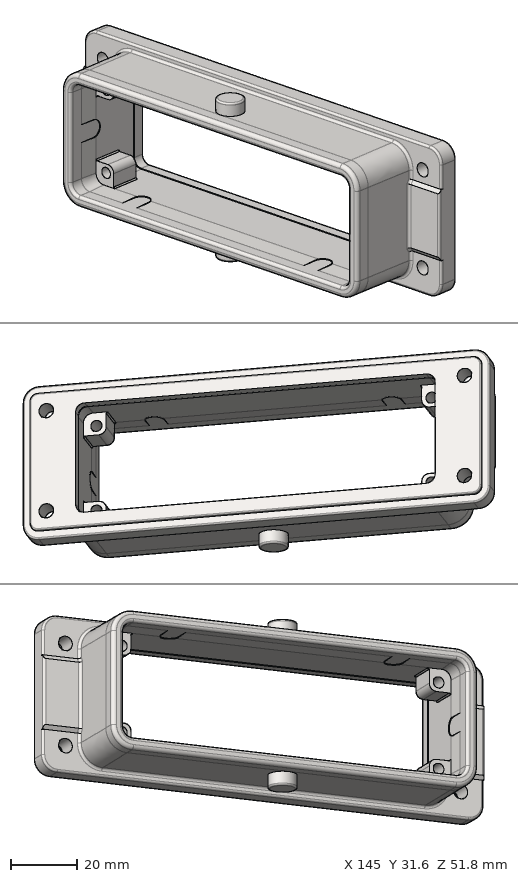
import cadquery as cq
import math

total_depth = 31.6

flange_length = 145.0
flange_height = 48.7
flange_corner = 5.0
lip_length = 140.2
lip_height = 43.6
lip_depth = 1.2
lip_corner = flange_corner - (flange_length - lip_length) / 2
lip_round = 0.5
flange_rear_round = 0.51
flange_front = 7.7
flange_front_round = 0.7
flange_hole_diameter = 4.5
flange_hole_x = 65.0
flange_hole_z = 16.0

pad_height = 0.9
pad_half_width = 10.3
pad_slope_width = 1.3
pad_round = 0.7

collar_length = 120.0
collar_height = 43.2
collar_corner = 7.0
collar_draft_end = 26.7
collar_draft = 0.1
collar_root_round = 0.9
rim_outer_round = 1.3
collar_overlap = 1.5

wall = 3.6
inner_corner = collar_corner - wall
mouth_length = collar_length - 2 * wall
mouth_height = collar_height - 2 * wall
mouth_end = collar_draft_end
throat_start = 20.5
throat_inset = 0.3
rear_lip_depth = 3.6
rear_lip_inset = 0.6
rim_inner_round = 1.0

slot_width = 5.8
slot_end = 18.5
slot_x = 36.8

boss_inner_x = 49.0
boss_inner_z = 10.6
boss_rear = 10.5
boss_corner = 2.3
boss_foot_round = 0.5
boss_hole_diameter = 3.5
boss_hole_x = 52.0
boss_hole_z = 13.5

pin_span = 51.8
pin_diameter = 8.8
pin_round = 0.6
pin_depth = 22.2


def rounded_bar(length, height, corner, start, end):
    """Bar with rounded corners along Y between two depths."""
    bar = cq.Workplane("XZ", origin=(0, -start, 0)).rect(length, height).extrude(end - start)
    return bar.edges("|Y").fillet(corner)


def drafted_bar(length, height, corner, start, end, inset):
    """Rounded bar whose sides move inward by `inset` from start to end."""
    angle = math.degrees(math.atan(inset / (end - start)))
    profile = cq.Sketch().rect(length, height).vertices().fillet(corner)
    return cq.Workplane("XZ", origin=(0, -start, 0)).placeSketch(profile).extrude(end - start, taper=angle)


def make_flange():
    lip = rounded_bar(lip_length, lip_height, lip_corner, 0, flange_front)
    lip = lip.faces(">Y").edges().fillet(lip_round)
    plate = rounded_bar(flange_length, flange_height, flange_corner, lip_depth, flange_front)
    plate = plate.faces(">Y").edges().fillet(flange_rear_round)
    plate = plate.faces("<Y").edges().fillet(flange_front_round)
    return plate.union(lip)


def make_pads():
    """Pads with sloped long sides, spanning each flange end out to its edge."""
    pad_front = flange_front + pad_height
    foot_half_width = pad_half_width + pad_slope_width
    foot = flange_front - flange_front_round
    profile = [
        (-foot, -foot_half_width),
        (-flange_front, -foot_half_width),
        (-pad_front, -pad_half_width),
        (-pad_front, pad_half_width),
        (-flange_front, foot_half_width),
        (-foot, foot_half_width),
    ]
    band = cq.Workplane("YZ").polyline(profile).close().extrude(flange_length / 2, both=True)
    return band.faces("<Y").edges("|Z").fillet(pad_round)


def make_collar():
    base = drafted_bar(
        collar_length + 2 * collar_draft,
        collar_height + 2 * collar_draft,
        collar_corner + collar_draft,
        flange_front - collar_overlap,
        collar_draft_end,
        collar_draft,
    )
    front = rounded_bar(collar_length, collar_height, collar_corner, collar_draft_end, total_depth)
    front = front.faces("<Y").edges().fillet(rim_outer_round)
    return base.union(front)


def make_opening():
    """Cutter for the opening, each stretch inset from the mouth walls by its own amount."""

    def stretch(inset, start, end):
        return rounded_bar(
            mouth_length - 2 * inset, mouth_height - 2 * inset, inner_corner - inset, start, end
        )

    rear_lip = stretch(rear_lip_inset, 0, rear_lip_depth)
    throat = stretch(throat_inset, rear_lip_depth, throat_start)
    slope = drafted_bar(
        mouth_length - 2 * throat_inset,
        mouth_height - 2 * throat_inset,
        inner_corner - throat_inset,
        throat_start,
        mouth_end,
        -throat_inset,
    )
    mouth = stretch(0, mouth_end, total_depth)
    return rear_lip.union(throat).union(slope).union(mouth)


def make_pins():
    """One bar right through the collar; cutting the opening leaves a pin on each long side."""
    profile = cq.Workplane("XY", origin=(0, -pin_depth, 0)).circle(pin_diameter / 2)
    pins = profile.extrude(pin_span / 2, both=True)
    return pins.faces("<Z or >Z").edges().fillet(pin_round)


def round_ended_slot(plane_name, across, half_span):
    """Slot along Y, rounded toward the rear, cut right across the opening."""
    center = slot_end + slot_width / 2
    profile = (
        cq.Workplane(plane_name)
        .moveTo(across - slot_width / 2, -mouth_end)
        .lineTo(across - slot_width / 2, -center)
        .threePointArc((across, -slot_end), (across + slot_width / 2, -center))
        .lineTo(across + slot_width / 2, -mouth_end)
        .close()
    )
    return profile.extrude(half_span, both=True)


def make_slots():
    slots = round_ended_slot("ZY", 0, mouth_length / 2)
    for x in (-slot_x, slot_x):
        slots = slots.union(round_ended_slot("XY", x, mouth_height / 2))
    return slots


def make_boss_region():
    """Corner blocks, with rounded feet on the throat walls, that stay solid when the opening is cut."""
    throat_x = mouth_length / 2 - throat_inset
    throat_z = mouth_height / 2 - throat_inset
    outer_x = collar_length / 2
    outer_z = collar_height / 2
    boss = (
        cq.Workplane("XZ", origin=(0, -boss_rear, 0))
        .moveTo(boss_inner_x - boss_foot_round, outer_z)
        .lineTo(boss_inner_x - boss_foot_round, throat_z)
        .radiusArc((boss_inner_x, throat_z - boss_foot_round), -boss_foot_round)
        .lineTo(boss_inner_x, boss_inner_z + boss_corner)
        .radiusArc((boss_inner_x + boss_corner, boss_inner_z), -boss_corner)
        .lineTo(throat_x - boss_foot_round, boss_inner_z)
        .radiusArc((throat_x, boss_inner_z - boss_foot_round), -boss_foot_round)
        .lineTo(outer_x, boss_inner_z - boss_foot_round)
        .lineTo(outer_x, outer_z)
        .close()
        .extrude(throat_start - boss_rear)
    )
    right_pair = boss.union(boss.mirror("XY"))
    return right_pair.union(right_pair.mirror("YZ"))


def corner_points(x, z):
    return [(side_x * x, side_z * z) for side_x in (-1, 1) for side_z in (-1, 1)]


def make_holes():
    def drill(points, diameter):
        return cq.Workplane("XZ").pushPoints(points).circle(diameter / 2).extrude(total_depth)

    flange_holes = drill(corner_points(flange_hole_x, flange_hole_z), flange_hole_diameter)
    return flange_holes.union(drill(corner_points(boss_hole_x, boss_hole_z), boss_hole_diameter))


def round_collar_root(part):
    """Fillet the inside corner between the collar and the flange with its pads."""
    side_margin = 0.7
    depth_margin = 0.07
    half_x = collar_length / 2 + side_margin
    half_z = collar_height / 2 + side_margin
    root_front = flange_front + pad_height + depth_margin
    root_rear = flange_front - depth_margin
    root_zone = cq.selectors.BoxSelector((-half_x, -root_front, -half_z), (half_x, -root_rear, half_z))
    return part.edges(root_zone).fillet(collar_root_round)


def round_inner_rim(part):
    inner_rim = part.faces("<Y").val().innerWires()
    return part.newObject(inner_rim).edges().fillet(rim_inner_round)


body = make_flange().union(make_pads()).union(make_collar())
body = round_collar_root(body).union(make_pins())
body = body.cut(make_opening().union(make_slots()).cut(make_boss_region()))
body = round_inner_rim(body)
result = body.cut(make_holes())